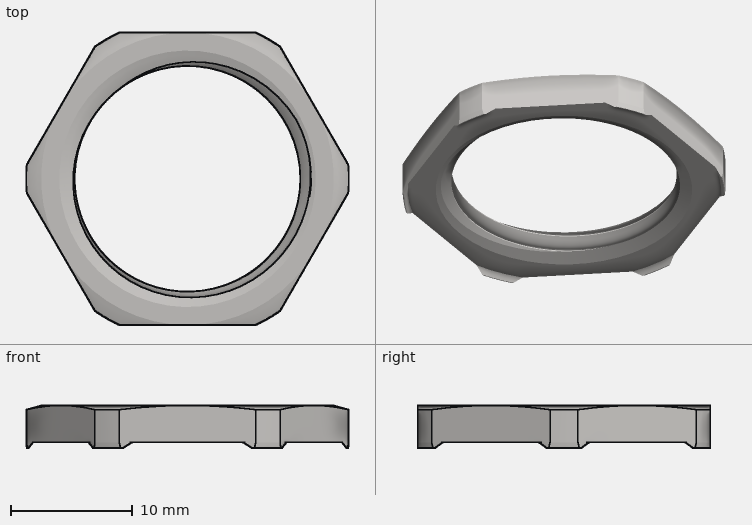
import cadquery as cq
import math


corner_diameter = 26.5
across_flats = 24.0
height = 3.5
top_bevel_drop = 0.35
corner_radius = corner_diameter / 2
flat_distance = across_flats / 2
hexagon_diameter = across_flats / math.cos(math.pi / 6)

foot_height = 0.48
foot_bottom_radius = 13.2
recess_bottom_radius = 13.1
recess_top_radius = 12.82

bore_radius = 9.25
thread_root_radius = 10.15
thread_pitch = 1.5
thread_crest = 0.08
groove_mouth = thread_pitch - thread_crest
groove_root = 0.05
groove_overlap = 0.03
thread_start_angle = -64.0
countersink_radius = 10.52
countersink_depth = 0.4


def revolve_profile(points):
    """Revolve an outline of (radius, height) points around the nut axis."""
    return cq.Workplane("XZ").polyline(points).close().revolve(360, (0, 0), (0, 1))


def make_body():
    """Hexagon prism with corners rounded and bevelled by a turned envelope."""
    hexagon = cq.Workplane("XY").polygon(6, hexagon_diameter).extrude(height)
    envelope = revolve_profile([
        (0, 0),
        (foot_bottom_radius, 0),
        (corner_radius, foot_height),
        (corner_radius, height - top_bevel_drop),
        (flat_distance, height),
        (0, height),
    ])
    return hexagon.intersect(envelope)


def make_foot_recess():
    """Tapered recess that leaves a foot at each corner."""
    return revolve_profile([
        (0, 0),
        (recess_bottom_radius, 0),
        (recess_top_radius, foot_height),
        (0, foot_height),
    ])


def make_bore():
    return cq.Workplane("XY").circle(bore_radius).extrude(height)


def make_countersink(mouth_height, end_height):
    """Cone narrowing from the countersink radius to the bore radius."""
    return revolve_profile([
        (0, mouth_height),
        (countersink_radius, mouth_height),
        (bore_radius, end_height),
        (0, end_height),
    ])


def make_thread_groove():
    """Helical V groove with a flat root, running out past both faces."""
    turns = math.ceil(height / thread_pitch) + 2
    helix = cq.Wire.makeHelix(thread_pitch, turns * thread_pitch, bore_radius)
    flank_slope = (groove_mouth - groove_root) / 2 / (thread_root_radius - bore_radius)
    half_mouth = groove_mouth / 2 + groove_overlap * flank_slope
    inner_radius = bore_radius - groove_overlap
    groove = (
        cq.Workplane("XZ")
        .polyline([
            (inner_radius, -half_mouth),
            (thread_root_radius, -groove_root / 2),
            (thread_root_radius, groove_root / 2),
            (inner_radius, half_mouth),
        ])
        .close()
        .sweep(cq.Workplane(obj=helix), isFrenet=True)
    )
    return groove.rotate((0, 0, 0), (0, 0, 1), thread_start_angle).translate((0, 0, -thread_pitch))


result = (
    make_body()
    .cut(make_foot_recess())
    .cut(make_thread_groove())
    .cut(make_bore())
    .cut(make_countersink(height, height - countersink_depth))
    .cut(make_countersink(foot_height, foot_height + countersink_depth))
)